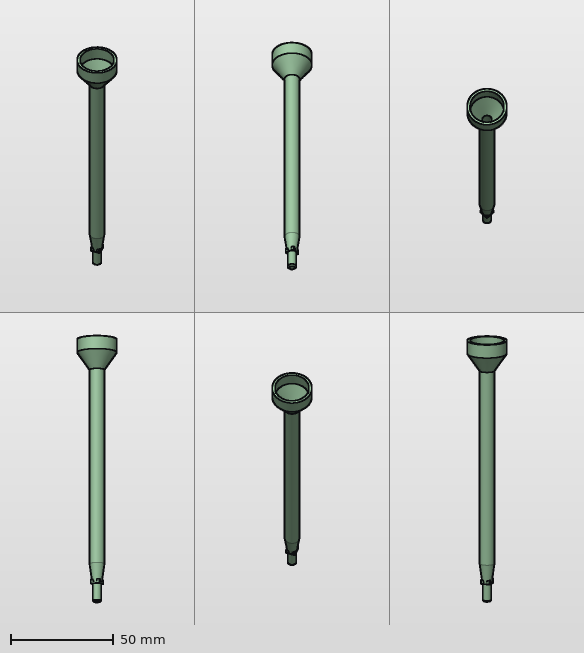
import cadquery as cq

total_height = 131.0
cup_diameter = 19.5
shaft_diameter = 7.5
pin_diameter = 4.3

shaft_bottom = 19.1
square_top = 11.0
square_bottom = 9.0
shaft_top = 115.8
rim_bottom = 124.5
pin_chamfer = 0.8

square_side = 4.6
nose_tip_diameter = square_side

cup_bore_diameter = 16.6
throat_diameter = 4.7
bore_diameter = 2.0
cup_floor = 124.6
throat_height = shaft_top
bore_floor = shaft_bottom


def revolve_profile(points):
    """Revolve a closed (radius, height) profile about the Z axis."""
    return cq.Workplane("XZ").polyline(points).close().revolve(360, (0, 0), (0, 1))


def make_body():
    """Chamfered pin, tapered nose, shaft and cup as one turned solid."""
    pin_radius = pin_diameter / 2
    shaft_radius = shaft_diameter / 2
    cup_radius = cup_diameter / 2
    return revolve_profile([
        (0, 0),
        (pin_radius - pin_chamfer, 0),
        (pin_radius, pin_chamfer),
        (pin_radius, square_bottom),
        (nose_tip_diameter / 2, square_bottom),
        (shaft_radius, shaft_bottom),
        (shaft_radius, shaft_top),
        (cup_radius, rim_bottom),
        (cup_radius, total_height),
        (0, total_height),
    ])


def make_square_collar():
    """Square drive collar aligned with X and Y."""
    collar_height = square_top - square_bottom
    return (
        cq.Workplane("XY", origin=(0, 0, square_bottom))
        .rect(square_side, square_side)
        .extrude(collar_height)
    )


def make_cavity():
    """Cup bore, funnel and the slowly tapering blind bore down the shaft."""
    return revolve_profile([
        (0, bore_floor),
        (bore_diameter / 2, bore_floor),
        (throat_diameter / 2, throat_height),
        (cup_bore_diameter / 2, cup_floor),
        (cup_bore_diameter / 2, total_height),
        (0, total_height),
    ])


result = make_body().union(make_square_collar()).cut(make_cavity())